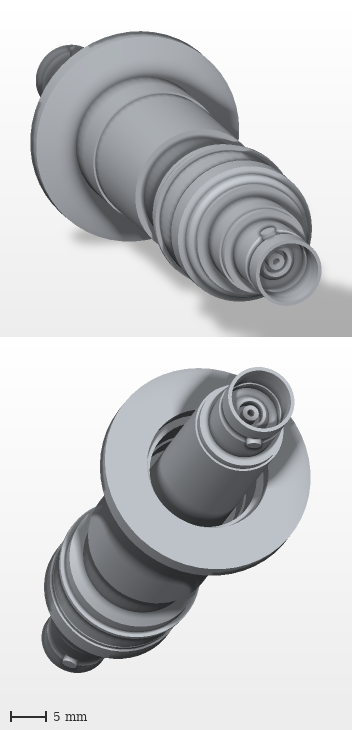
import cadquery as cq
import math

LENGTH = 105.3
CUT_MARGIN = 1.0

CONNECTOR_R = 4.8
CONNECTOR_LENGTH = 11.0
MOUTH_BORE_R = 4.3
MOUTH_BORE_DEPTH = 5.3
SOCKET_R = 4.1
SOCKET_DEPTH = 6.9
NOSE_BASE_R = 2.9
NOSE_TIP_R = 2.2
NOSE_HEIGHT = 1.0
NOSE_BORE_R = 1.8
NOSE_BORE_DEPTH = 2.1
CONTACT_R = 1.2
CONTACT_BORE_R = 0.5
PIN_GROOVE_START = 3.2
PIN_GROOVE_WIDTH = 2.0
PIN_GROOVE_DEPTH = 0.37
PIN_DIAMETER = 2.1
PIN_TIP_R = 5.5
PIN_ROOT_R = 4.4
RIGHT_PIN_TILT = 20.0

SLEEVE_R = 6.4
COLLAR_R = 6.1
COLLAR_LENGTH = 1.4
VENT_DIAMETER = 3.4
VENT_X = 20.0
VENT_FLOOR_R = 5.3

FLANGE_DIAMETER = 30.0
FLANGE_R = FLANGE_DIAMETER / 2
FLANGE_X = 30.2
FLANGE_RIM = 2.8
FLANGE_TAPER = 15.0
NECK_R = 9.6
NECK_END_X = 42.8

GAP_MOUTH_R = 8.8
GAP_MOUTH_DEPTH = 2.6
GAP_R = 7.8
GAP_NARROW_R = 7.5
GAP_NARROW_DEPTH = 8.4
GAP_DEPTH = 12.6

BARREL_R = 9.3
BARREL_END_X = 61.9
WAIST_R = 8.0
WAIST_END_X = 69.6

WASHER_R = 10.2
WASHER_X = 73.9
WASHER_WIDTH = 0.7
SLIT_WIDTH = 0.3
SLIT_DEPTH = 0.5
SLIT_X = 80.0

NUT_R = 9.9
NUT_X = 81.0
NUT_TAPER_X = 84.3
NUT_END_X = 84.7
GLAND_R = 8.9
GLAND_FACE_X = 86.6
GLAND_ROUND = 0.9
GLAND_END_X = 87.6


def ring(x_start, length, outer_r, inner_r):
    """Ring about the X axis; an inner radius of zero gives a plain disc."""
    profile = cq.Workplane("YZ", origin=(x_start, 0, 0)).circle(outer_r)
    if inner_r > 0:
        profile = profile.circle(inner_r)
    return profile.extrude(length)


def revolve_about_x(profile):
    return profile.revolve(360, (0, 0, 0), (1, 0, 0))


def revolved_body():
    taper_length = (FLANGE_R - NECK_R) * math.tan(math.radians(FLANGE_TAPER))
    taper_x = FLANGE_X + FLANGE_RIM
    coupling_chamfer = NECK_R - WAIST_R
    right_connector_x = LENGTH - CONNECTOR_LENGTH
    outline = [
        (0, 0),
        (0, CONNECTOR_R),
        (CONNECTOR_LENGTH, CONNECTOR_R),
        (CONNECTOR_LENGTH, COLLAR_R),
        (CONNECTOR_LENGTH + COLLAR_LENGTH, COLLAR_R),
        (CONNECTOR_LENGTH + COLLAR_LENGTH, SLEEVE_R),
        (FLANGE_X + GAP_DEPTH, SLEEVE_R),
        (FLANGE_X + GAP_DEPTH, GAP_NARROW_R),
        (FLANGE_X + GAP_NARROW_DEPTH, GAP_NARROW_R),
        (FLANGE_X + GAP_NARROW_DEPTH, GAP_R),
        (FLANGE_X + GAP_MOUTH_DEPTH, GAP_R),
        (FLANGE_X + GAP_MOUTH_DEPTH, GAP_MOUTH_R),
        (FLANGE_X, GAP_MOUTH_R),
        (FLANGE_X, FLANGE_R),
        (taper_x, FLANGE_R),
        (taper_x + taper_length, NECK_R),
        (NECK_END_X, NECK_R),
        (NECK_END_X, BARREL_R),
        (BARREL_END_X, BARREL_R),
        (BARREL_END_X, WAIST_R),
        (WAIST_END_X, WAIST_R),
        (WAIST_END_X + coupling_chamfer, NECK_R),
        (NUT_X, NECK_R),
        (NUT_X, NUT_R),
        (NUT_TAPER_X, NUT_R),
        (NUT_END_X, GLAND_R),
        (NUT_END_X, WAIST_R),
        (GLAND_END_X, WAIST_R),
        (GLAND_END_X, SLEEVE_R),
        (right_connector_x - COLLAR_LENGTH, SLEEVE_R),
        (right_connector_x - COLLAR_LENGTH, COLLAR_R),
        (right_connector_x, COLLAR_R),
        (right_connector_x, CONNECTOR_R),
        (LENGTH, CONNECTOR_R),
        (LENGTH, 0),
    ]
    return revolve_about_x(cq.Workplane("XY").polyline(outline).close())


def add_washer_and_slits(body):
    """Washer standing in a narrow groove, and one parting slit beside the nut."""
    slit_floor_r = NECK_R - SLIT_DEPTH
    groove_width = WASHER_WIDTH + 2 * SLIT_WIDTH
    body = body.cut(ring(WASHER_X - SLIT_WIDTH, groove_width, WASHER_R, slit_floor_r))
    body = body.cut(ring(SLIT_X, SLIT_WIDTH, WASHER_R, slit_floor_r))
    return body.union(ring(WASHER_X, WASHER_WIDTH, WASHER_R, 0))


def add_gland(body):
    """Disc behind the nut with a rounded right edge."""
    gland = ring(NUT_END_X, GLAND_FACE_X - NUT_END_X, GLAND_R, 0)
    return body.union(gland.faces(">X").edges().fillet(GLAND_ROUND))


def cut_vent_hole(body):
    """Radial hole in the -Y side of the sleeve, down to a round inner core."""
    drill = (
        cq.Workplane("XZ", origin=(VENT_X, 0, 0))
        .circle(VENT_DIAMETER / 2)
        .extrude(SLEEVE_R + CUT_MARGIN)
    )
    core = ring(VENT_X - VENT_DIAMETER, 2 * VENT_DIAMETER, VENT_FLOOR_R, 0)
    return body.cut(drill.cut(core))


def connector_cutter():
    """Pin groove and stepped socket, around a conical nose with a tubular contact, from X = 0."""
    groove_end = PIN_GROOVE_START + PIN_GROOVE_WIDTH
    groove_middle = PIN_GROOVE_START + PIN_GROOVE_WIDTH / 2
    groove_profile = (
        cq.Workplane("XY")
        .moveTo(PIN_GROOVE_START, CONNECTOR_R)
        .threePointArc((groove_middle, CONNECTOR_R - PIN_GROOVE_DEPTH), (groove_end, CONNECTOR_R))
        .lineTo(groove_end, CONNECTOR_R + CUT_MARGIN)
        .lineTo(PIN_GROOVE_START, CONNECTOR_R + CUT_MARGIN)
        .close()
    )
    groove = revolve_about_x(groove_profile)
    nose_tip_x = SOCKET_DEPTH - NOSE_HEIGHT
    nose_bore_end = nose_tip_x + NOSE_BORE_DEPTH
    socket_outline = [
        (0, 0),
        (0, MOUTH_BORE_R),
        (MOUTH_BORE_DEPTH, MOUTH_BORE_R),
        (MOUTH_BORE_DEPTH, SOCKET_R),
        (SOCKET_DEPTH, SOCKET_R),
        (SOCKET_DEPTH, NOSE_BASE_R),
        (nose_tip_x, NOSE_TIP_R),
        (nose_tip_x, NOSE_BORE_R),
        (nose_bore_end, NOSE_BORE_R),
        (nose_bore_end, CONTACT_R),
        (nose_tip_x, CONTACT_R),
        (nose_tip_x, CONTACT_BORE_R),
        (nose_bore_end, CONTACT_BORE_R),
        (nose_bore_end, 0),
    ]
    return groove.union(revolve_about_x(cq.Workplane("XY").polyline(socket_outline).close()))


def bayonet_pins():
    """Two opposed pins of the left connector, rooted inside its wall."""
    pin_x = PIN_GROOVE_START + PIN_GROOVE_WIDTH / 2
    rod = (
        cq.Workplane("XY", origin=(pin_x, 0, -PIN_TIP_R))
        .circle(PIN_DIAMETER / 2)
        .extrude(2 * PIN_TIP_R)
    )
    return rod.cut(ring(0, CONNECTOR_LENGTH, PIN_ROOT_R, 0))


def at_right_end(shape):
    return shape.mirror("YZ", (LENGTH / 2, 0, 0))


body = revolved_body()
body = add_washer_and_slits(body)
body = add_gland(body)
body = cut_vent_hole(body)
body = body.cut(connector_cutter()).cut(at_right_end(connector_cutter()))
right_pins = at_right_end(bayonet_pins()).rotate((0, 0, 0), (1, 0, 0), RIGHT_PIN_TILT)
result = body.union(bayonet_pins()).union(right_pins)